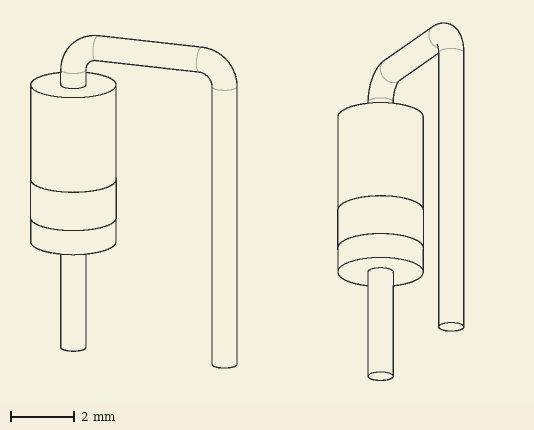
import cadquery as cq

lead_diameter = 0.8
lead_pitch = 5.08
bend_radius = 0.8
overall_height = 10.4

body_diameter = 2.7
body_length = 5.2
body_bottom = 3.5
band_diameter = 2.72
band_bottom = 4.3
band_width = 1.27

lead_radius = lead_diameter / 2
crossbar_height = overall_height - lead_radius
bend_start_height = crossbar_height - bend_radius


def cylinder(diameter, bottom, height):
    """Upright cylinder on the body axis."""
    return cq.Workplane("XY").workplane(offset=bottom).circle(diameter / 2).extrude(height)


def make_lead():
    """Wire that runs up the body axis, across, and down to the second lead end."""
    path = (
        cq.Workplane("XZ")
        .lineTo(0, bend_start_height)
        .radiusArc((bend_radius, crossbar_height), bend_radius)
        .lineTo(lead_pitch - bend_radius, crossbar_height)
        .radiusArc((lead_pitch, bend_start_height), bend_radius)
        .lineTo(lead_pitch, 0)
    )
    return cq.Workplane("XY").circle(lead_radius).sweep(path)


body = cylinder(body_diameter, body_bottom, body_length)
band = cylinder(band_diameter, band_bottom, band_width)

result = make_lead().union(body).union(band)